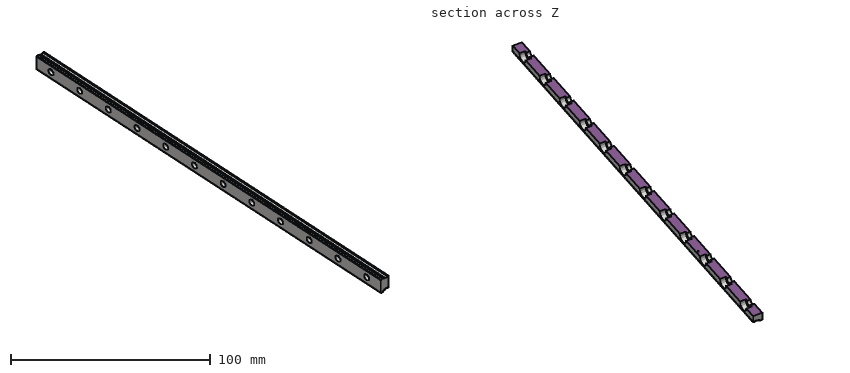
import cadquery as cq
import math

rail_length = 240.0
rail_height = 5.5
rail_width = 9.0

base_height = 1.6
base_chamfer = 0.25
head_width = 8.0
head_chamfer_height = 0.25
head_chamfer_width = 0.15
groove_radius = 1.0
groove_half_angle = math.radians(53)
groove_height = 3.82

hole_diameter = 3.5
counterbore_diameter = 6.0
counterbore_depth = 3.3
hole_pitch = 20.0
hole_count = 12

half_base = rail_width / 2
half_head = head_width / 2
root_radius = half_base - half_head


def make_side_outline():
    """Open outline of the +Z side of the cross-section, from the base face up to the top of the head."""
    root_arc_offset = root_radius * (1 - math.sqrt(0.5))
    groove_centre_z = half_head + groove_radius * math.cos(groove_half_angle)

    def groove_point(angle):
        """Point (y, z) on the groove arc, at an angle from its deepest line."""
        return (
            groove_height + groove_radius * math.sin(angle),
            groove_centre_z - groove_radius * math.cos(angle),
        )

    return (
        cq.Workplane("YZ", origin=(-rail_length / 2, 0, 0))
        .moveTo(0, half_base - base_chamfer)
        .lineTo(base_chamfer, half_base)
        .lineTo(base_height, half_base)
        .threePointArc(
            (base_height + root_arc_offset, half_head + root_arc_offset),
            (base_height + root_radius, half_head),
        )
        .lineTo(*groove_point(-groove_half_angle))
        .threePointArc(groove_point(-groove_half_angle / 2), groove_point(0))
        .threePointArc(groove_point(groove_half_angle / 2), groove_point(groove_half_angle))
        .lineTo(rail_height - head_chamfer_height, half_head)
        .lineTo(rail_height, half_head - head_chamfer_width)
        .wire()
        .val()
    )


def make_rail():
    """Full-length rail, its two sides mirror images about the middle plane."""
    upper_side = make_side_outline()
    lower_side = upper_side.mirror("XY")
    base_line = cq.Edge.makeLine(lower_side.startPoint(), upper_side.startPoint())
    top_line = cq.Edge.makeLine(upper_side.endPoint(), lower_side.endPoint())
    outline = cq.Wire.assembleEdges([base_line, *upper_side.Edges(), top_line, *lower_side.Edges()])
    return cq.Workplane(cq.Solid.extrudeLinear(outline, [], cq.Vector(rail_length, 0, 0)))


def cut_mounting_holes(body):
    """Drill the evenly spaced row of holes, counterbored from the top of the head."""
    return (
        body.faces(">Y")
        .workplane(centerOption="CenterOfBoundBox")
        .rarray(hole_pitch, 1, hole_count, 1)
        .cboreHole(hole_diameter, counterbore_diameter, counterbore_depth, clean=False)
    )


result = cut_mounting_holes(make_rail())